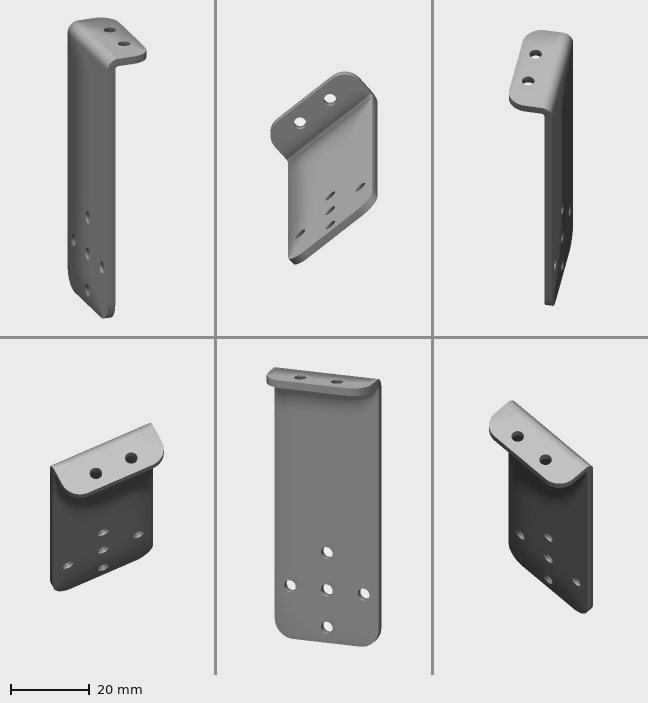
import cadquery as cq

width = 28.0
depth = 12.0
height = 72.0
thickness = 2.0

bend_inner_radius = 0.8
bend_outer_radius = bend_inner_radius + thickness
corner_radius = 5.0

hole_diameter = 3.2
hole_spacing = 9.9
cross_center_height = 14.0
flange_hole_edge_distance = 4.1


def bent_plate():
    """L-shaped sheet: upright plate at the front, flange running back from its top."""
    profile = (
        cq.Workplane("YZ")
        .polyline([
            (0, 0),
            (thickness, 0),
            (thickness, height - thickness),
            (depth, height - thickness),
            (depth, height),
            (0, height),
        ])
        .close()
        .extrude(width / 2, both=True)
    )
    inner_bend = cq.selectors.NearestToPointSelector((0, thickness, height - thickness))
    outer_bend = cq.selectors.NearestToPointSelector((0, 0, height))
    plate = profile.edges(inner_bend).fillet(bend_inner_radius)
    return plate.edges(outer_bend).fillet(bend_outer_radius)


def round_free_corners(plate):
    """Round the two bottom corners of the upright and the two back corners of the flange."""
    plate = plate.faces("<Z").edges("|Y").fillet(corner_radius)
    return plate.faces(">Y").edges("|Z").fillet(corner_radius)


def upright_holes():
    """Five holes in a cross: one in the middle and one on each arm."""
    cross = [
        (0, 0),
        (hole_spacing, 0),
        (-hole_spacing, 0),
        (0, hole_spacing),
        (0, -hole_spacing),
    ]
    return (
        cq.Workplane("XZ", origin=(0, 0, cross_center_height))
        .pushPoints(cross)
        .circle(hole_diameter / 2)
        .extrude(-thickness)
    )


def flange_holes():
    """Two holes side by side through the flange."""
    return (
        cq.Workplane("XY", origin=(0, depth - flange_hole_edge_distance, height))
        .pushPoints([(-hole_spacing / 2, 0), (hole_spacing / 2, 0)])
        .circle(hole_diameter / 2)
        .extrude(-thickness)
    )


result = round_free_corners(bent_plate()).cut(upright_holes()).cut(flange_holes())